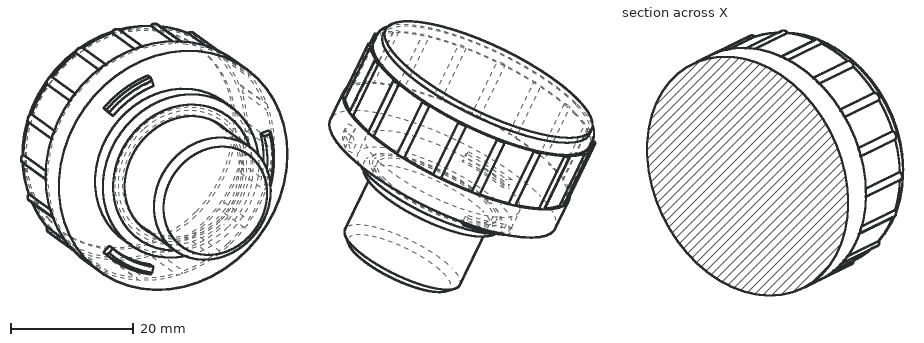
import cadquery as cq

face_disc_end = 0.95
lip_end = 2.7
grip_end = 12.63
flange_end = 18.0
collar_end = 21.1
total_length = 35.0

face_disc_radius = 37.55 / 2
lip_radius = 39.35 / 2
grip_radius = 20.1
flange_radius = 41 / 2
collar_radius = 28.0 / 2
shaft_radius = 20.95 / 2

lip_fillet = 0.5
shaft_chamfer = 1.2

rib_count = 18
rib_radius = 0.8

ring_tube_radius = 0.95
ring_outer_radius = 12.45
ring_seat_depth = 0.05

tab_count = 3
tab_outer_radius = 35.3 / 2
tab_inner_radius = 32.45 / 2
tab_height = 1.5
tab_angle = 30
tab_chamfer = 0.45


def cylinder(start, end, radius):
    """Cylinder on the X axis between two X positions."""
    return cq.Workplane("YZ", origin=(start, 0, 0)).circle(radius).extrude(end - start)


def make_body():
    """Stepped round body: face disc, lip, grip, flange, collar and shaft."""
    lip = cylinder(face_disc_end, lip_end, lip_radius).faces("<X").edges().fillet(lip_fillet)
    shaft = cylinder(flange_end, total_length, shaft_radius).faces(">X").edges().chamfer(shaft_chamfer)
    return (
        cylinder(0, face_disc_end, face_disc_radius)
        .union(lip)
        .union(cylinder(lip_end, grip_end, grip_radius))
        .union(cylinder(grip_end, flange_end, flange_radius))
        .union(cylinder(flange_end, collar_end, collar_radius))
        .union(shaft)
    )


def make_ribs():
    """Round ridges spaced evenly around the grip, the first one on +Y."""
    return (
        cq.Workplane("YZ", origin=(lip_end, 0, 0))
        .polarArray(flange_radius - rib_radius, 0, 360, rib_count)
        .circle(rib_radius)
        .extrude(grip_end - lip_end)
    )


def make_ring():
    """O-ring around the shaft, pressed into the back of the collar."""
    ring_center_radius = ring_outer_radius - ring_tube_radius
    return (
        cq.Workplane("XY")
        .center(collar_end - ring_seat_depth + ring_tube_radius, ring_center_radius)
        .circle(ring_tube_radius)
        .revolve(360, (0, -ring_center_radius, 0), (1, -ring_center_radius, 0))
    )


def make_tab():
    """Locking tab centred on +Y: a ring sector with its outer back edge chamfered."""
    tab_end = flange_end + tab_height
    profile = [
        (flange_end, tab_inner_radius),
        (tab_end, tab_inner_radius),
        (tab_end, tab_outer_radius - tab_chamfer),
        (tab_end - tab_chamfer, tab_outer_radius),
        (flange_end, tab_outer_radius),
    ]
    sector = cq.Workplane("XY").polyline(profile).close().revolve(tab_angle, (0, 0, 0), (1, 0, 0))
    return sector.rotate((0, 0, 0), (1, 0, 0), -tab_angle / 2)


result = make_body().union(make_ribs()).union(make_ring())
for tab in range(tab_count):
    result = result.union(make_tab().rotate((0, 0, 0), (1, 0, 0), tab * 360 / tab_count))